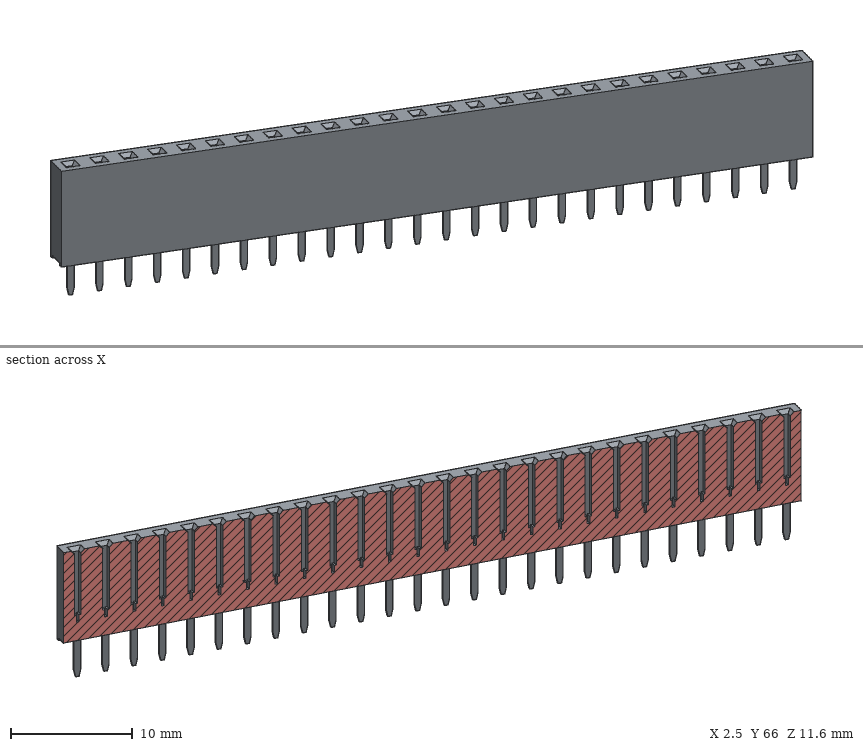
import cadquery as cq

contact_count = 26
length = 66.05
pitch = length / contact_count
width = 2.5
total_height = 11.6
housing_height = 8.5

foot_width = 0.4
foot_height = 0.2

socket_length_x = 0.615
socket_length_y = 0.54
socket_depth = 5.95
lead_in = 0.3
slit_width = 0.2
slit_depth = 0.65

pin_width = 0.6
pin_thickness = 0.2
pin_tip_width = 0.3
pin_taper_height = 0.63

pin_length = total_height - housing_height
channel_width = width - 2 * foot_width
contact_positions = [(0, (i - (contact_count - 1) / 2) * pitch) for i in range(contact_count)]


def make_housing():
    """Straight bar standing on two long feet, with its foot bottoms at Z = 0."""
    bar = cq.Workplane("XY").box(width, length, housing_height, centered=(True, True, False))
    channel = cq.Workplane("XY").box(channel_width, length, foot_height, centered=(True, True, False))
    return bar.cut(channel)


def make_socket():
    """Rectangular blind hole with a bevelled lead-in and a slit across its floor, hanging from Z = 0."""
    mouth = (
        cq.Workplane("XY")
        .rect(socket_length_x + 2 * lead_in, socket_length_y + 2 * lead_in)
        .workplane(offset=-lead_in)
        .rect(socket_length_x, socket_length_y)
        .loft(ruled=True)
    )
    hole = cq.Workplane("XY").rect(socket_length_x, socket_length_y).extrude(-socket_depth)
    slit = cq.Workplane("XY").rect(socket_length_x, slit_width).extrude(-socket_depth - slit_depth)
    return mouth.union(hole).union(slit)


def make_pin():
    """Flat pin with a tapered tip, rooted in the channel roof."""
    half_width = pin_width / 2
    half_tip = pin_tip_width / 2
    taper_start = pin_taper_height - pin_length
    outline = [
        (-half_width, foot_height),
        (-half_width, taper_start),
        (-half_tip, -pin_length),
        (half_tip, -pin_length),
        (half_width, taper_start),
        (half_width, foot_height),
    ]
    return cq.Workplane("YZ").polyline(outline).close().extrude(pin_thickness / 2, both=True)


def at_each_contact(shape, height):
    """Copies of a shape at every contact position."""
    return (
        cq.Workplane("XY", origin=(0, 0, height))
        .pushPoints(contact_positions)
        .eachpoint(lambda place: shape.val().moved(place), combine=False)
    )


sockets = at_each_contact(make_socket(), housing_height)
pins = at_each_contact(make_pin(), 0)
result = make_housing().cut(sockets).union(pins)